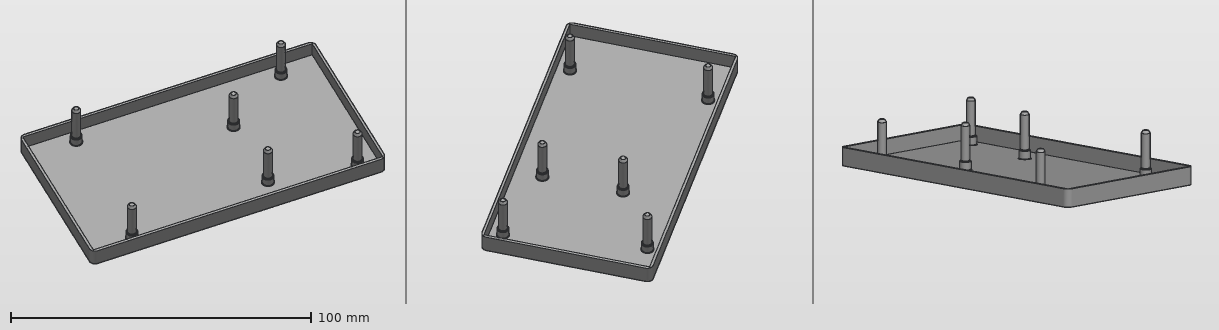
import cadquery as cq

width = 59.3
length = 107.6
tray_height = 6.2
wall = 1.0
floor = 1.0
corner_radius = 2.0
bottom_chamfer = 0.1

total_height = 16.9
collar_diameter = 4.0
collar_height = 3.0
edge_break = 0.2
pin_diameter = 3.0
tip_diameter = 2.2
tip_height = 1.0

left_pin_x = -24.1
right_pin_x = 24.1
pin_centres = [
    (left_pin_x, 39.4),
    (right_pin_x, 45.7),
    (-8.9, 15.3),
    (19.0, 15.3),
    (left_pin_x, -35.4),
    (right_pin_x, -36.7),
]


def make_tray():
    """Open tray with rounded outer corners and a sharp-cornered cavity."""
    body = cq.Workplane("XY").box(width, length, tray_height, centered=(True, True, False))
    body = body.edges("|Z").fillet(corner_radius)
    body = body.faces("<Z").edges().chamfer(bottom_chamfer)
    cavity = (
        cq.Workplane("XY")
        .workplane(offset=floor)
        .rect(width - 2 * wall, length - 2 * wall)
        .extrude(tray_height)
    )
    return body.cut(cavity)


def make_pin():
    """Stepped pin revolved about Z, rooted in the underside of the floor."""
    collar_radius = collar_diameter / 2
    pin_radius = pin_diameter / 2
    collar_top = floor + collar_height
    tip_radius = tip_diameter / 2
    profile = [
        (0, floor / 2),
        (collar_radius + edge_break, floor / 2),
        (collar_radius + edge_break, floor),
        (collar_radius, floor + edge_break),
        (collar_radius, collar_top - edge_break),
        (collar_radius - edge_break, collar_top),
        (pin_radius + edge_break, collar_top),
        (pin_radius, collar_top + edge_break),
        (pin_radius, total_height - tip_height),
        (tip_radius, total_height - edge_break),
        (tip_radius - edge_break, total_height),
        (0, total_height),
    ]
    return cq.Workplane("XZ").polyline(profile).close().revolve(360, (0, 0), (0, 1))


result = make_tray()
pin = make_pin()
for x, y in pin_centres:
    result = result.union(pin.translate((x, y, 0)))